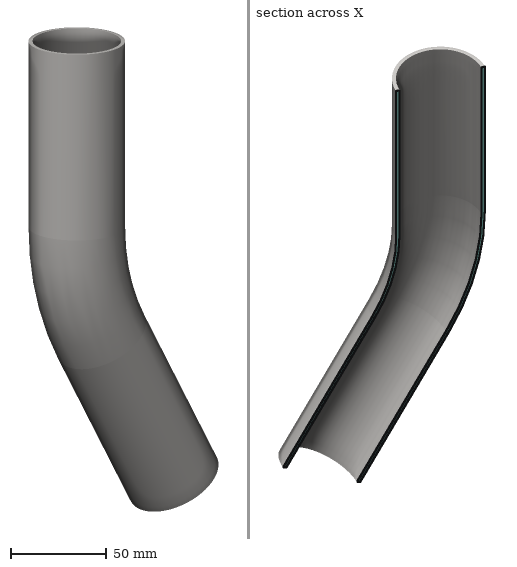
import cadquery as cq
import math

overall_height = 265.8
outer_diameter = 50.8
inner_diameter = 46.5
bend_angle = 30.0
bend_radius = 2.5 * outer_diameter
lower_length = 2 * outer_diameter

angle = math.radians(bend_angle)
bend_drop = bend_radius * math.sin(angle)
bend_offset = bend_radius * (1 - math.cos(angle))
lower_drop = lower_length * math.cos(angle)
lower_offset = lower_length * math.sin(angle)
end_face_drop = outer_diameter / 2 * math.sin(angle)
upper_length = overall_height - bend_drop - lower_drop - end_face_drop

half_angle = angle / 2
bend_middle = (
    bend_radius * (1 - math.cos(half_angle)),
    -upper_length - bend_radius * math.sin(half_angle),
)
bend_end = (bend_offset, -upper_length - bend_drop)
lower_end = (bend_end[0] + lower_offset, bend_end[1] - lower_drop)
centreline = (
    cq.Workplane("YZ")
    .lineTo(0, -upper_length)
    .threePointArc(bend_middle, bend_end)
    .lineTo(*lower_end)
)

result = (
    cq.Workplane("XY")
    .circle(outer_diameter / 2)
    .circle(inner_diameter / 2)
    .sweep(centreline)
)